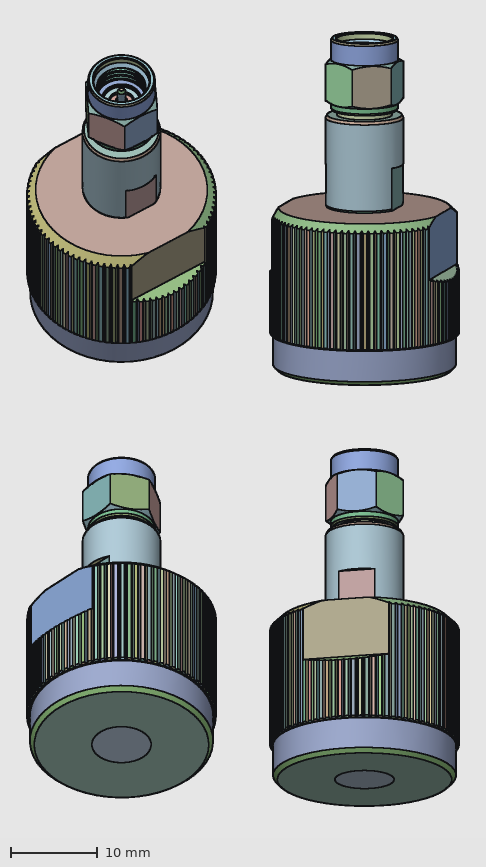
import cadquery as cq
import math

KNURL_BOTTOM = 4.1
KNURL_TOP = 18.9
BARREL_BOTTOM = 19.1
BARREL_TOP = 29.8
HEX_NUT_BOTTOM = 30.4
HEX_BOTTOM = 31.2
HEX_TOP = 36.3
OVERALL_HEIGHT = 38.8

KNURL_RADIUS = 10.9
GROOVE_DEPTH = 0.27
GROOVE_WIDTH = 0.35
GROOVE_COUNT = 88
KNURL_BOTTOM_CHAMFER = 0.2
TOP_FACE_RADIUS = 9.9
TOP_CHAMFER_HEIGHT = 0.97
COLLAR_RADIUS = 10.55
COLLAR_CHAMFER = 0.5
NUT_FLAT_OFFSET = 9.5
NUT_FLAT_BOTTOM = 11.9
NUT_FLAT_SLOPE = 30.0

SPANNER_SIZE = 7.95

SHANK_RADIUS = 3.4
BARREL_RADIUS = 4.5
BARREL_TOP_CHAMFER_WIDTH = 0.2
BARREL_TOP_CHAMFER_HEIGHT = 0.35
BARREL_BOTTOM_CHAMFER_WIDTH = 0.1
BARREL_BOTTOM_CHAMFER_HEIGHT = 0.25
BARREL_FLAT_OFFSET = SPANNER_SIZE / 2
BARREL_FLAT_TOP = 24.1
NECK_RADIUS = 3.2
NECK_TOP = 35.3
RECESS_RADIUS = 2.15
RECESS_CHAMFER = 0.1
RECESS_DEPTH = 0.4
LINE_RADIUS = 1.47
SHOULDER_RADIUS = 0.7
LINE_DEPTH = 0.4
PIN_RADIUS = 0.45
PIN_TIP_RADIUS = 0.25
PIN_TIP_HEIGHT = 0.35
PIN_TOP = 37.05

HEX_SIDES = 6
HEX_CHAMFER_ANGLE = 30.0
SLEEVE_RADIUS = 3.9
SLEEVE_CHAMFER_WIDTH = 0.15
SLEEVE_CHAMFER_HEIGHT = 0.25
MOUTH_RADIUS = 3.22
MOUTH_CHAMFER = 0.1
MOUTH_DEPTH = 0.78
THREAD_CREST_RADIUS = 2.8
THREAD_ROOT_RADIUS = 3.15
THREAD_PITCH = 0.7
THREAD_FLANK_ANGLE = 30.0

SMALL_OVERLAP = 0.1


def revolved(points):
    """Solid of revolution about Z from (radius, height) points."""
    return cq.Workplane("XZ").polyline(points).close().revolve(360, (0, 0), (0, 1))


def cylinder(radius, bottom, top):
    return cq.Workplane("XY").workplane(offset=bottom).circle(radius).extrude(top - bottom)


def polar(radius, angle):
    return (radius * math.cos(angle), radius * math.sin(angle))


def knurl_prism():
    """Full-height prism with V grooves around its rim."""
    step = 2 * math.pi / GROOVE_COUNT
    half_groove = GROOVE_WIDTH / 2 / KNURL_RADIUS
    rim = cq.Workplane("XY").workplane(offset=KNURL_BOTTOM).moveTo(*polar(KNURL_RADIUS, -half_groove))
    for i in range(GROOVE_COUNT):
        groove = i * step
        land_start = groove + half_groove
        land_middle = groove + step / 2
        land_end = groove + step - half_groove
        rim = rim.lineTo(*polar(KNURL_RADIUS - GROOVE_DEPTH, groove))
        rim = rim.lineTo(*polar(KNURL_RADIUS, land_start))
        rim = rim.threePointArc(polar(KNURL_RADIUS, land_middle), polar(KNURL_RADIUS, land_end))
    return rim.close().extrude(KNURL_TOP - KNURL_BOTTOM)


def nut_flat_cutter(side):
    """Material outside one wrench flat, above its outward-sloping ledge."""
    reach = KNURL_RADIUS + SMALL_OVERLAP
    drop = (reach - NUT_FLAT_OFFSET) * math.tan(math.radians(NUT_FLAT_SLOPE))
    return (
        cq.Workplane("XZ")
        .polyline([
            (side * NUT_FLAT_OFFSET, KNURL_TOP),
            (side * NUT_FLAT_OFFSET, NUT_FLAT_BOTTOM),
            (side * reach, NUT_FLAT_BOTTOM - drop),
            (side * reach, KNURL_TOP),
        ])
        .close()
        .extrude(KNURL_RADIUS, both=True)
    )


def make_knurled_nut():
    envelope = revolved([
        (0, KNURL_BOTTOM),
        (KNURL_RADIUS - KNURL_BOTTOM_CHAMFER, KNURL_BOTTOM),
        (KNURL_RADIUS, KNURL_BOTTOM + KNURL_BOTTOM_CHAMFER),
        (KNURL_RADIUS, KNURL_TOP - TOP_CHAMFER_HEIGHT),
        (TOP_FACE_RADIUS, KNURL_TOP),
        (0, KNURL_TOP),
    ])
    nut = knurl_prism().intersect(envelope)
    for side in (-1, 1):
        nut = nut.cut(nut_flat_cutter(side))
    collar = cylinder(COLLAR_RADIUS, 0, KNURL_BOTTOM).faces("<Z").chamfer(COLLAR_CHAMFER)
    return nut.union(collar).cut(cylinder(SHANK_RADIUS, 0, KNURL_TOP))


def make_adapter_body():
    recess_floor = NECK_TOP - RECESS_DEPTH
    line_floor = recess_floor - LINE_DEPTH
    body = revolved([
        (0, 0),
        (SHANK_RADIUS, 0),
        (SHANK_RADIUS, BARREL_BOTTOM),
        (BARREL_RADIUS - BARREL_BOTTOM_CHAMFER_WIDTH, BARREL_BOTTOM),
        (BARREL_RADIUS, BARREL_BOTTOM + BARREL_BOTTOM_CHAMFER_HEIGHT),
        (BARREL_RADIUS, BARREL_TOP - BARREL_TOP_CHAMFER_HEIGHT),
        (BARREL_RADIUS - BARREL_TOP_CHAMFER_WIDTH, BARREL_TOP),
        (NECK_RADIUS, BARREL_TOP),
        (NECK_RADIUS, NECK_TOP),
        (RECESS_RADIUS + RECESS_CHAMFER, NECK_TOP),
        (RECESS_RADIUS, NECK_TOP - RECESS_CHAMFER),
        (RECESS_RADIUS, recess_floor),
        (LINE_RADIUS, recess_floor),
        (LINE_RADIUS, line_floor),
        (SHOULDER_RADIUS, line_floor),
        (SHOULDER_RADIUS, recess_floor),
        (PIN_RADIUS, recess_floor),
        (PIN_RADIUS, PIN_TOP - PIN_TIP_HEIGHT),
        (PIN_TIP_RADIUS, PIN_TOP),
        (0, PIN_TOP),
    ])
    flat_height = BARREL_FLAT_TOP - BARREL_BOTTOM
    flat_depth = BARREL_RADIUS - BARREL_FLAT_OFFSET
    for side in (-1, 1):
        outside_flat = cq.Workplane("XY").box(flat_depth, 2 * BARREL_RADIUS, flat_height).translate(
            (side * (BARREL_FLAT_OFFSET + flat_depth / 2), 0, BARREL_BOTTOM + flat_height / 2)
        )
        body = body.cut(outside_flat)
    return body


def hex_section():
    """Hexagon with corners on the Y axis, its corners chamfered at both ends."""
    flat_radius = SPANNER_SIZE / 2
    corner_radius = flat_radius / math.cos(math.pi / HEX_SIDES)
    chamfer_height = (corner_radius - SLEEVE_RADIUS) * math.tan(math.radians(HEX_CHAMFER_ANGLE))
    prism = (
        cq.Workplane("XY")
        .workplane(offset=HEX_BOTTOM)
        .polygon(HEX_SIDES, 2 * corner_radius)
        .extrude(HEX_TOP - HEX_BOTTOM)
        .rotate((0, 0, 0), (0, 0, 1), 90)
    )
    envelope = revolved([
        (0, HEX_BOTTOM),
        (SLEEVE_RADIUS, HEX_BOTTOM),
        (corner_radius, HEX_BOTTOM + chamfer_height),
        (corner_radius, HEX_TOP - chamfer_height),
        (SLEEVE_RADIUS, HEX_TOP),
        (0, HEX_TOP),
    ])
    return prism.intersect(envelope)


def thread_groove():
    """Helical V groove, running out into the neck bore below and the lead-in cone above."""
    slope = math.tan(math.radians(THREAD_FLANK_ANGLE))
    inner_radius = THREAD_CREST_RADIUS - SMALL_OVERLAP
    half_width = (THREAD_ROOT_RADIUS - inner_radius) * slope
    start = NECK_TOP - half_width - SMALL_OVERLAP
    end = OVERALL_HEIGHT - MOUTH_DEPTH - half_width
    helix = cq.Wire.makeHelix(THREAD_PITCH, end - start, THREAD_CREST_RADIUS).translate(cq.Vector(0, 0, start))
    return (
        cq.Workplane("XZ")
        .polyline([
            (inner_radius, start - half_width),
            (THREAD_ROOT_RADIUS, start),
            (inner_radius, start + half_width),
        ])
        .close()
        .sweep(cq.Workplane(helix), isFrenet=True)
    )


def make_hex_nut():
    sleeve_end_radius = SLEEVE_RADIUS - SLEEVE_CHAMFER_WIDTH
    sleeve = revolved([
        (0, HEX_NUT_BOTTOM),
        (sleeve_end_radius, HEX_NUT_BOTTOM),
        (SLEEVE_RADIUS, HEX_NUT_BOTTOM + SLEEVE_CHAMFER_HEIGHT),
        (SLEEVE_RADIUS, OVERALL_HEIGHT - SLEEVE_CHAMFER_HEIGHT),
        (sleeve_end_radius, OVERALL_HEIGHT),
        (0, OVERALL_HEIGHT),
    ])
    crest_bore = cylinder(THREAD_CREST_RADIUS, HEX_NUT_BOTTOM, OVERALL_HEIGHT)
    nut = sleeve.union(hex_section()).cut(crest_bore).cut(thread_groove())
    neck_bore = cylinder(NECK_RADIUS, HEX_NUT_BOTTOM, NECK_TOP)
    mouth_floor = OVERALL_HEIGHT - MOUTH_DEPTH
    lead_in = MOUTH_RADIUS - THREAD_CREST_RADIUS
    mouth = revolved([
        (0, mouth_floor - lead_in),
        (THREAD_CREST_RADIUS, mouth_floor - lead_in),
        (MOUTH_RADIUS, mouth_floor),
        (MOUTH_RADIUS, OVERALL_HEIGHT - MOUTH_CHAMFER),
        (MOUTH_RADIUS + MOUTH_CHAMFER, OVERALL_HEIGHT),
        (0, OVERALL_HEIGHT),
    ])
    return nut.cut(neck_bore).cut(mouth)


knurled_nut = make_knurled_nut()
adapter_body = make_adapter_body()
hex_nut = make_hex_nut()

result = cq.Compound.makeCompound([knurled_nut.val(), adapter_body.val(), hex_nut.val()])